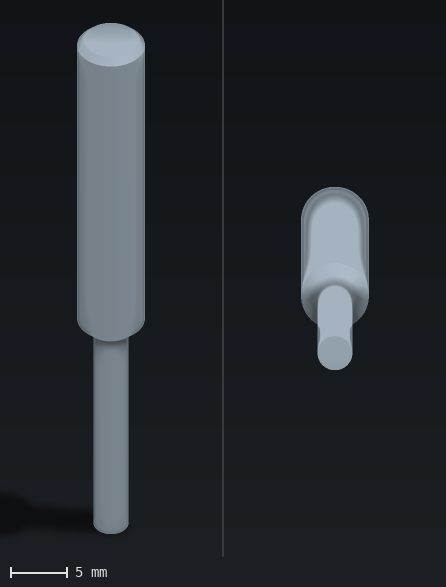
import cadquery as cq
import math

total_length = 55.0
shank_diameter = 6.0
cutter_diameter = 3.1

top_chamfer = 0.6
cutter_length = 21.0
fillet_radius = 2.0
cone_angle = math.radians(45)

shank_radius = shank_diameter / 2
cutter_radius = cutter_diameter / 2


def arc_point(angle):
    """Point on the concave neck fillet, turned by angle from its lower tangent point."""
    radius = cutter_radius + fillet_radius * (1 - math.cos(angle))
    height = cutter_length + fillet_radius * math.sin(angle)
    return radius, height


def make_shank():
    """Chamfered shank that tapers through a cone and a tangent fillet to the cutter."""
    cone_start_radius, cone_start_height = arc_point(cone_angle)
    cone_height = (shank_radius - cone_start_radius) / math.tan(cone_angle)
    shank_bottom = cone_start_height + cone_height
    return (
        cq.Workplane("XZ")
        .moveTo(0, cutter_length)
        .lineTo(cutter_radius, cutter_length)
        .threePointArc(arc_point(cone_angle / 2), (cone_start_radius, cone_start_height))
        .lineTo(shank_radius, shank_bottom)
        .lineTo(shank_radius, total_length - top_chamfer)
        .lineTo(shank_radius - top_chamfer, total_length)
        .lineTo(0, total_length)
        .close()
        .revolve(360, (0, 0, 0), (0, 1, 0))
    )


def make_cutter():
    """Plain cylindrical cutter that meets the lower face of the shank."""
    return cq.Workplane("XY").circle(cutter_radius).extrude(cutter_length)


shank = make_shank()
cutter = make_cutter()
result = cq.Compound.makeCompound([shank.val(), cutter.val()])